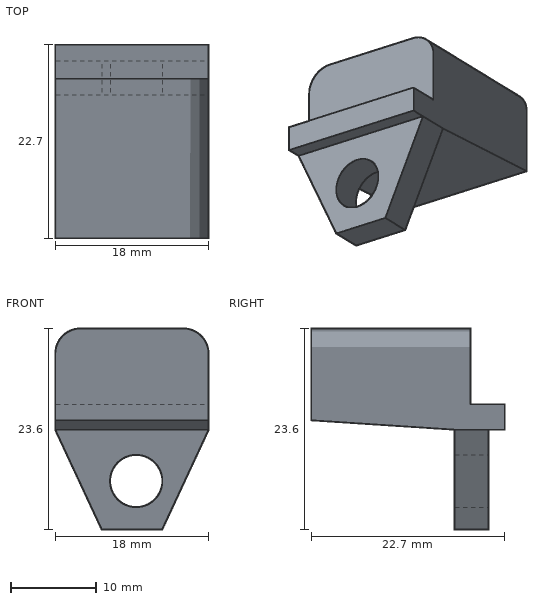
import cadquery as cq

width = 18.0
depth = 22.7
total_height = 23.6

tab_height = 11.7
block_height = total_height - tab_height
ledge_depth = 4.0
ledge_thickness = 3.0
underside_rise = 1.1
edge_radius = 3.0

tab_thickness = 4.0
tab_back_inset = 1.9
tab_tip_width = 7.1
tab_back_y = depth - tab_back_inset
tab_front_y = tab_back_y - tab_thickness

hole_diameter = 6.1
hole_x = 0.5
hole_above_tip = 5.7


def make_block():
    """Side profile extruded across the width, with rounded top side edges."""
    step_y = depth - ledge_depth
    profile = [
        (0, underside_rise),
        (tab_front_y, 0),
        (depth, 0),
        (depth, ledge_thickness),
        (step_y, ledge_thickness),
        (step_y, block_height),
        (0, block_height),
    ]
    block = cq.Workplane("YZ").polyline(profile).close().extrude(width / 2, both=True)
    return block.faces(">Z").edges("|Y").fillet(edge_radius)


def make_tab():
    """Trapezoidal plate narrowing downwards, with a through hole."""
    outline = [
        (-width / 2, 0),
        (width / 2, 0),
        (tab_tip_width / 2, -tab_height),
        (-tab_tip_width / 2, -tab_height),
    ]
    back_plane = cq.Workplane("XZ", origin=(0, tab_back_y, 0))
    plate = back_plane.polyline(outline).close().extrude(tab_thickness)
    hole_z = hole_above_tip - tab_height
    hole = back_plane.center(hole_x, hole_z).circle(hole_diameter / 2).extrude(tab_thickness)
    return plate.cut(hole)


result = make_block().union(make_tab())